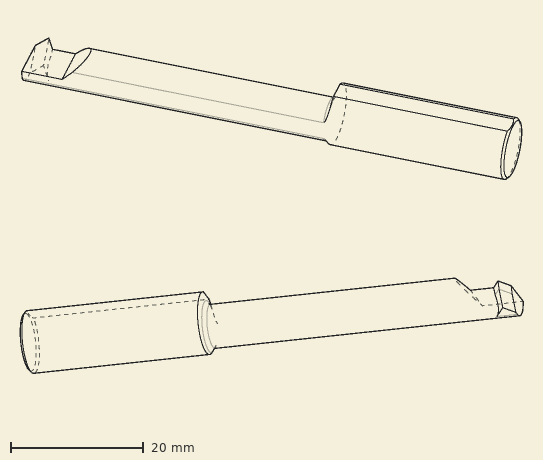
import cadquery as cq
import math

total_length = 76.2
shank_start = 48.3
shank_diameter = 9.5
shank_radius = shank_diameter / 2
flat_height = 4.5
end_chamfer = 0.4

neck_radius = 3.35
neck_axis_y = -1.5
root_fillet = 0.6
neck_side_y = neck_axis_y + neck_radius

cut_start = 6.4
cut_overrun = 0.8
cut_angle = math.radians(45)

tip_x = 1.4
tooth_height = 2.45
tip_y = neck_side_y + tooth_height
half_angle = math.radians(30)
upper_relief_depth = 1.15
upper_relief_shift = 0.5
lower_relief_depth = neck_radius - upper_relief_depth
lower_relief_shift = 2.05


def round_bar(radius, start, end):
    return cq.Workplane("YZ", origin=(start, 0, 0)).circle(radius).extrude(end - start)


def make_shank():
    shank = round_bar(shank_radius, shank_start, total_length).faces(">X").chamfer(end_chamfer)
    above_flat = (
        cq.Workplane("XY", origin=(0, 0, flat_height))
        .rect(3 * total_length, 3 * shank_radius)
        .extrude(shank_radius)
    )
    return shank.cut(above_flat)


def make_neck():
    arc_offset = root_fillet * (1 - math.sqrt(0.5))
    bar = (
        cq.Workplane("XY", origin=(0, neck_axis_y, 0))
        .lineTo(0, neck_radius)
        .lineTo(shank_start - root_fillet, neck_radius)
        .threePointArc(
            (shank_start - arc_offset, neck_radius + arc_offset),
            (shank_start, neck_radius + root_fillet),
        )
        .lineTo(shank_start, 0)
        .close()
        .revolve(360, (0, 0, 0), (1, 0, 0))
    )
    return bar.intersect(round_bar(shank_radius, 0, shank_start))


def make_head_cut():
    rise = 2 * shank_radius
    outline = [
        (-cut_overrun, 0),
        (cut_start, 0),
        (cut_start + rise / math.tan(cut_angle), rise),
        (-cut_overrun, rise),
    ]
    return cq.Workplane("XZ").polyline(outline).close().extrude(2 * shank_radius, both=True)


def sloped_prism(outline, top_z, top_shift, depth, shift):
    """Prism that leans towards -Y by shift over its depth."""
    upper = [(x, y - top_shift) for x, y in outline]
    lower = [(x, y - shift) for x, y in upper]
    return (
        cq.Workplane("XY", origin=(0, 0, top_z))
        .polyline(upper).close()
        .workplane(offset=-depth)
        .polyline(lower).close()
        .loft(ruled=True)
    )


def relieved_solid(outline):
    upper = sloped_prism(outline, 0, 0, upper_relief_depth, upper_relief_shift)
    lower = sloped_prism(
        outline, -upper_relief_depth, upper_relief_shift, lower_relief_depth, lower_relief_shift
    )
    return upper.union(lower)


root_y = neck_axis_y + upper_relief_shift + lower_relief_shift
root_x = tip_x + (tip_y - root_y) * math.tan(half_angle)
front_corner = (0, tip_y - tip_x / math.tan(half_angle))
tip = (tip_x, tip_y)
tooth = relieved_solid([front_corner, tip, (root_x, root_y), (0, root_y)])

clear_y = tip_y + shank_radius
flank_cut = relieved_solid([front_corner, tip, (tip_x, clear_y), (0, clear_y)])

neck = make_neck().cut(make_head_cut()).cut(flank_cut)
result = make_shank().union(neck).union(tooth)